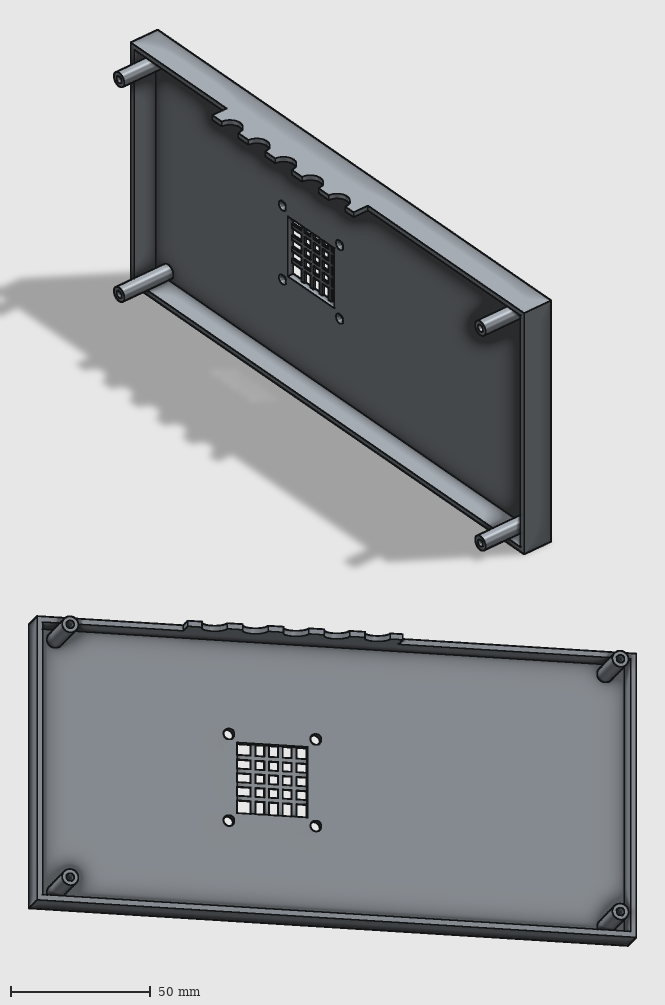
import cadquery as cq
import math

LENGTH = 221.0
HEIGHT = 105.0
TRAY_DEPTH = 12.5
WALL = 2.1
FLOOR = 2.7

OVERALL_DEPTH = 25.5
POST_DIAMETER = 6.0
POST_BORE = 2.9
DRILL_POINT_ANGLE = 118
POST_INSET_X = 9.0
POST_INSET_Z = 5.7

TAB_START = 54.0
TAB_WIDTH = 79.3
TAB_REACH = 6.6
SCALLOP_COUNT = 5
SCALLOP_PITCH = 15.0
SCALLOP_DIAMETER = 9.3
FIRST_SCALLOP = 10.0

FAN_X = -21.2
OPENING = 26.0
SCREW_SPACING = 32.0
SCREW_DIAMETER = 4.0
BAR_COUNT = 4
BAR_WIDTH = 1.72
BAR_GAP = 3.3
BAR_PITCH = BAR_WIDTH + BAR_GAP
BAR_THICKNESS = 0.9
BAR_SHIFT_X = 0.9
BAR_SHIFT_Z = 0.55


def block(x_size, z_size, y_back, y_front, x=0.0, z=0.0):
    """Box centred at (x, z), running from y_back forward to y_front."""
    depth = y_back - y_front
    return cq.Workplane("XY").box(x_size, depth, z_size).translate((x, (y_back + y_front) / 2, z))


def cylinders(points, diameter, y_back, y_front):
    """Cylinders along Y at the given (x, z) points."""
    plane = cq.Workplane("XZ", origin=(0, y_back, 0))
    return plane.pushPoints(points).circle(diameter / 2).extrude(y_back - y_front)


def corners(x_spacing, z_spacing, x_centre=0.0):
    """The four (x, z) corners of a rectangle centred at (x_centre, 0)."""
    return [(x_centre + i * x_spacing / 2, j * z_spacing / 2) for i in (-1, 1) for j in (-1, 1)]


def centred_row(count, pitch, centre):
    """Evenly spaced positions on both sides of a centre."""
    return [centre + (i - (count - 1) / 2) * pitch for i in range(count)]


def tray():
    outside = block(LENGTH, HEIGHT, 0, -TRAY_DEPTH)
    cavity = block(LENGTH - 2 * WALL, HEIGHT - 2 * WALL, -FLOOR, -TRAY_DEPTH)
    return outside.cut(cavity)


def scalloped_tab():
    tab_x = -LENGTH / 2 + TAB_START + TAB_WIDTH / 2
    tip_y = -TRAY_DEPTH - TAB_REACH
    tab = block(TAB_WIDTH, WALL, -TRAY_DEPTH, tip_y, tab_x, (HEIGHT - WALL) / 2)
    first_x = -LENGTH / 2 + TAB_START + FIRST_SCALLOP
    centres = [(first_x + i * SCALLOP_PITCH, tip_y) for i in range(SCALLOP_COUNT)]
    scallops = cq.Workplane("XY").pushPoints(centres).circle(SCALLOP_DIAMETER / 2).extrude(HEIGHT)
    return tab.cut(scallops)


def posts():
    points = corners(LENGTH - 2 * POST_INSET_X, HEIGHT - 2 * POST_INSET_Z)
    solid_posts = cylinders(points, POST_DIAMETER, -FLOOR, -OVERALL_DEPTH)
    point_depth = POST_BORE / 2 / math.tan(math.radians(DRILL_POINT_ANGLE / 2))
    cone_mouth = -FLOOR - point_depth
    solid_posts = solid_posts.cut(cylinders(points, POST_BORE, cone_mouth, -OVERALL_DEPTH))
    for x, z in points:
        mouth = cq.Vector(x, cone_mouth, z)
        drill_point = cq.Solid.makeCone(POST_BORE / 2, 0, point_depth, mouth, cq.Vector(0, 1, 0))
        solid_posts = solid_posts.cut(cq.Workplane(drill_point))
    return solid_posts


def fan_cutouts():
    opening = block(OPENING, OPENING, 0, -FLOOR, FAN_X)
    screw_points = corners(SCREW_SPACING, SCREW_SPACING, FAN_X)
    return opening.union(cylinders(screw_points, SCREW_DIAMETER, 0, -FLOOR))


def grille():
    bars = cq.Workplane("XY")
    for x in centred_row(BAR_COUNT, BAR_PITCH, FAN_X + BAR_SHIFT_X):
        bars = bars.union(block(BAR_WIDTH, OPENING, 0, -BAR_THICKNESS, x))
    for z in centred_row(BAR_COUNT, BAR_PITCH, BAR_SHIFT_Z):
        bars = bars.union(block(OPENING, BAR_WIDTH, 0, -BAR_THICKNESS, FAN_X, z))
    return bars


result = tray().cut(fan_cutouts()).union(grille()).union(scalloped_tab()).union(posts())